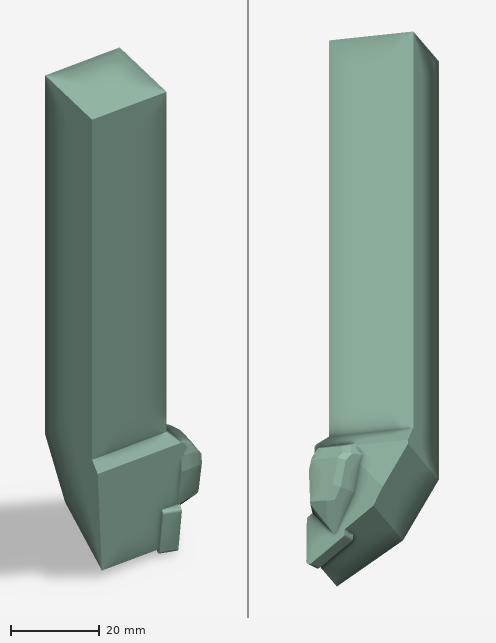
import cadquery as cq
import math

SHANK_SIZE = 20.0
HEAD_DEPTH = 24.1
TOP_Z = 126.4
RAMP_TOP_Z = 30.3
SIDE_RAMP_END = (22.4, 27.8)
BACK_RAMP_END_Z = 25.9
HEAD_TIP = (24.1, 1.6)
LOWER_BEVEL_START = (8.5, 11.1)
UPPER_BEVEL_START_Z = 24.9

RAKE_SLOPE_X = 0.14
RAKE_SLOPE_Z = 0.12
RAKE_START = (6.1, 15.2)
LEAD_ANGLE = 3.0

INSERT_TIP = (25.5, -0.6)
INSERT_ANGLE = 55.0
INSERT_INSCRIBED = 9.5
INSERT_THICKNESS = 4.7
INSERT_NOSE_RADIUS = 0.8

BOSS_UPPER_END = 28.0
BOSS_FOOTPRINT = [
    (6.3, -7.2),
    (16.4, -12.1),
    (25.1, -13.8),
    (BOSS_UPPER_END, -11.6),
    (BOSS_UPPER_END, -3.0),
    (25.3, -1.5),
    (21.5, -0.6),
    (12.5, -1.1),
]
BOSS_HEIGHT = 5.4
BOSS_SINK = 0.6
BOSS_DRAFT = 20.0
BOSS_NOSE_END = 5.8
BOSS_TOP_SPAN = (13.9, 23.6)
BOSS_BEVEL_HEIGHT = 1.6
BOSS_MIDDLE = -6.3
BOSS_EDGE_CHAMFER = 1.1
UPPER_FACE_COSINE = 0.5


def make_rake_plane():
    """Plane of the insert's top face, with its origin at the sharp insert corner."""
    tip_x, tip_z = INSERT_TIP
    tip_y = HEAD_DEPTH - RAKE_SLOPE_X * (tip_x - RAKE_START[0]) + RAKE_SLOPE_Z * (tip_z - RAKE_START[1])
    edge_x = -math.tan(math.radians(LEAD_ANGLE))
    edge = (edge_x, RAKE_SLOPE_Z - RAKE_SLOPE_X * edge_x, 1.0)
    return cq.Plane(origin=(tip_x, tip_y, tip_z), xDir=edge, normal=(RAKE_SLOPE_X, 1.0, -RAKE_SLOPE_Z))


def make_holder_blank():
    """Bar with its bevelled head, before the back of the head is cut."""
    outline = [
        (0, TOP_Z),
        (SHANK_SIZE, TOP_Z),
        (SHANK_SIZE, RAMP_TOP_Z),
        SIDE_RAMP_END,
        HEAD_TIP,
        LOWER_BEVEL_START,
        (0, UPPER_BEVEL_START_Z),
    ]
    bar = cq.Workplane("XZ").polyline(outline).close().extrude(-HEAD_DEPTH)
    depth_outline = [
        (0, 0),
        (HEAD_DEPTH, 0),
        (HEAD_DEPTH, BACK_RAMP_END_Z),
        (SHANK_SIZE, RAMP_TOP_Z),
        (SHANK_SIZE, TOP_Z),
        (0, TOP_Z),
    ]
    depth_limit = cq.Workplane("YZ").polyline(depth_outline).close().extrude(INSERT_TIP[0])
    return bar.intersect(depth_limit)


def make_rake_cutter(rake):
    """Block that removes everything above the rake plane around the head."""
    size = 2 * RAMP_TOP_Z
    return cq.Workplane(rake).rect(size, size).extrude(HEAD_DEPTH)


def make_boss(rake):
    """Drafted boss with a sloping nose that reaches over the insert."""
    drafted = (
        cq.Workplane(rake)
        .workplane(offset=-BOSS_SINK)
        .polyline(BOSS_FOOTPRINT)
        .close()
        .extrude(BOSS_HEIGHT + BOSS_SINK, taper=BOSS_DRAFT)
    )
    top_start, top_end = BOSS_TOP_SPAN
    profile = [
        (BOSS_NOSE_END, -BOSS_SINK),
        (BOSS_NOSE_END, 0),
        (top_start, BOSS_HEIGHT),
        (top_end, BOSS_HEIGHT),
        (BOSS_UPPER_END, BOSS_BEVEL_HEIGHT),
        (BOSS_UPPER_END, -BOSS_SINK),
    ]
    profile_plane = cq.Plane(origin=rake.origin, xDir=rake.xDir, normal=-rake.yDir)
    side_limit = cq.Workplane(profile_plane).polyline(profile).close().extrude(HEAD_DEPTH)
    boss = drafted.intersect(side_limit)
    upper_faces = boss.faces().filter(lambda face: face.normalAt().dot(rake.zDir) > UPPER_FACE_COSINE)
    rim = upper_faces.edges(-cq.selectors.ParallelDirSelector(rake.yDir))
    inner_rim = rim.filter(lambda edge: edge.Center().sub(rake.origin).dot(rake.yDir) < BOSS_MIDDLE)
    return inner_rim.chamfer(BOSS_EDGE_CHAMFER)


def make_insert(rake):
    """Rhombic insert with rounded corners, flush with the rake plane."""
    angle = math.radians(INSERT_ANGLE)
    side = INSERT_INSCRIBED / math.sin(angle)
    run = side * math.cos(angle)
    outline = [
        (0, 0),
        (side, 0),
        (side + run, -INSERT_INSCRIBED),
        (run, -INSERT_INSCRIBED),
    ]
    return (
        cq.Workplane(rake)
        .polyline(outline)
        .close()
        .extrude(-INSERT_THICKNESS)
        .edges(cq.selectors.ParallelDirSelector(rake.zDir))
        .fillet(INSERT_NOSE_RADIUS)
    )


rake_plane = make_rake_plane()
insert = make_insert(rake_plane)
holder = (
    make_holder_blank()
    .cut(make_rake_cutter(rake_plane))
    .union(make_boss(rake_plane))
    .cut(insert)
)

result = cq.Compound.makeCompound([holder.val(), insert.val()])